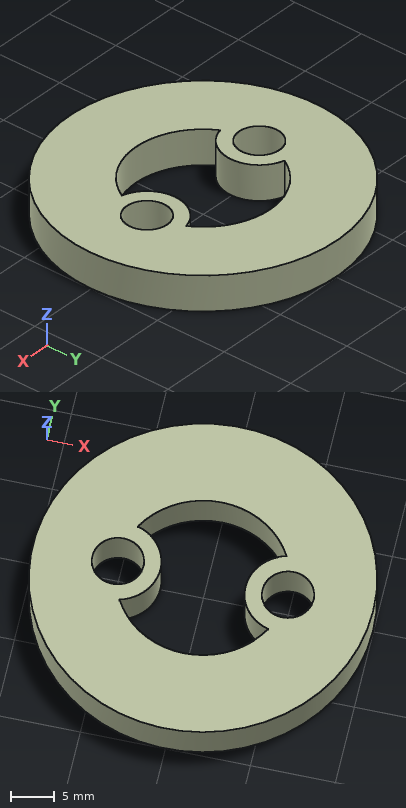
import cadquery as cq

disc_diameter = 40.0
thickness = disc_diameter / 8

bore_diameter = disc_diameter / 2

lug_diameter = bore_diameter / 2
lug_hole_diameter = 6.0
lug_centers = [(-bore_diameter / 2, 0), (bore_diameter / 2, 0)]


def cylinders(diameter, centers):
    """Full-thickness cylinders standing on the bottom plane."""
    return cq.Workplane("XY").pushPoints(centers).circle(diameter / 2).extrude(thickness)


disc = cylinders(disc_diameter, [(0, 0)])
bore = cylinders(bore_diameter, [(0, 0)])
lugs = cylinders(lug_diameter, lug_centers)
lug_holes = cylinders(lug_hole_diameter, lug_centers)

result = disc.cut(bore).union(lugs).cut(lug_holes)